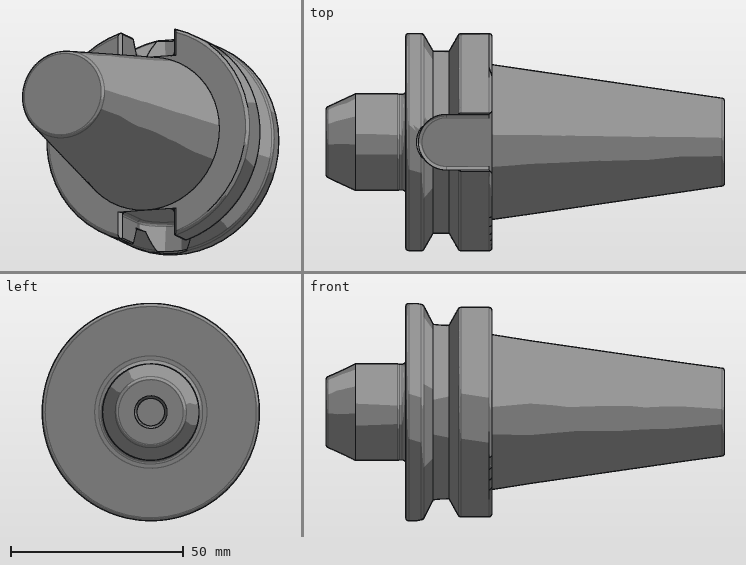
import cadquery as cq
import math

length = 115.4

nose_radius = 28.0 / 2
nose_cone_length = 8.5
nose_cone_angle = math.radians(25)
nose_tip_radius = nose_radius - nose_cone_length * math.tan(nose_cone_angle)
nose_tip_fillet = 1.0

relief_radius = 27.8 / 2
relief_start = 20.8
relief_full_depth = 21.2
relief_fillet = 1.2
relief_face_depth = 0.1
relief_outer_radius = 16.3

flange_radius = 31.5
flange_front = 23.1
flange_back = 48.1
groove_radius = 26.4
groove_start = 31.0
groove_end = 35.7
groove_wall_angle = math.radians(60)
groove_wall_run = (flange_radius - groove_radius) / math.tan(groove_wall_angle)
flange_edge_fillet = 0.9

gauge_radius = 44.4 / 2
gauge_x = 49.9
taper_slope = 7 / 48
taper_end_fillet = 0.8

key_width = 16.2
key_floor = 22.5
key_floor_fillet = 1.0
front_rim_depth = 0.6
back_rim_depth = 0.5
key_mouth_chamfer = 0.9
key_arc_x = 34.9

bore_diameter = 8.0
bore_step_diameter = 8.7
bore_mouth_diameter = 9.5
bore_cone_length = 0.5
bore_depth = 18.5


def taper_radius(x):
    return gauge_radius - (x - gauge_x) * taper_slope


def turned_body():
    relief_bottom = flange_front + relief_face_depth
    arc_start = relief_bottom - relief_fillet
    arc_drop = relief_fillet * math.sin(math.pi / 4)
    arc_middle = (
        arc_start + arc_drop,
        relief_radius + relief_fillet - arc_drop,
    )
    profile = (
        cq.Workplane("XY")
        .moveTo(0, 0)
        .lineTo(0, nose_tip_radius)
        .lineTo(nose_cone_length, nose_radius)
        .lineTo(relief_start, nose_radius)
        .lineTo(relief_full_depth, relief_radius)
        .lineTo(arc_start, relief_radius)
        .threePointArc(arc_middle, (relief_bottom, relief_radius + relief_fillet))
        .lineTo(flange_front, relief_outer_radius)
        .lineTo(flange_front, flange_radius)
        .lineTo(groove_start - groove_wall_run, flange_radius)
        .lineTo(groove_start, groove_radius)
        .lineTo(groove_end, groove_radius)
        .lineTo(groove_end + groove_wall_run, flange_radius)
        .lineTo(flange_back, flange_radius)
        .lineTo(flange_back, taper_radius(flange_back))
        .lineTo(length, taper_radius(length))
        .lineTo(length, 0)
        .close()
    )
    body = profile.revolve(360, (0, 0, 0), (1, 0, 0))
    body = body.edges(cq.selectors.RadiusNthSelector(-1)).fillet(flange_edge_fillet)
    body = body.faces(">X").edges().fillet(taper_end_fillet)
    return body.faces("<X").edges().fillet(nose_tip_fillet)


def keyway_cutter():
    """Round-ended slot on the +Z side, open at the back of the flange."""
    height = flange_radius - key_floor
    run = length - key_arc_x
    base = cq.Workplane("XY").workplane(offset=key_floor).center(key_arc_x, 0)
    channel = base.circle(key_width / 2).extrude(height)
    channel = channel.union(base.center(run / 2, 0).rect(run, key_width).extrude(height))
    return channel.faces("<Z").edges("not >X").fillet(key_floor_fillet)


def front_rim_flare():
    """45 degree cone that breaks the keyway's round rim on the front land."""
    start = cq.Workplane("XY").workplane(offset=flange_radius - front_rim_depth)
    return start.center(key_arc_x, 0).circle(key_width / 2).extrude(front_rim_depth, taper=-45)


def back_rim_flare():
    """45 degree wedge that breaks the keyway's straight rims on the back land."""
    half_width = key_width / 2
    rim_z = math.sqrt(flange_radius**2 - half_width**2)
    bottom = rim_z - back_rim_depth
    rise = flange_radius - bottom
    run = flange_back - groove_end
    return (
        cq.Workplane("YZ", origin=(groove_end, 0, 0))
        .moveTo(-half_width, bottom)
        .lineTo(half_width, bottom)
        .lineTo(half_width + rise, flange_radius)
        .lineTo(-half_width - rise, flange_radius)
        .close()
        .extrude(run)
    )


def mouth_flare():
    """45 degree wedge that breaks the keyway walls at the back of the flange."""
    half_width = key_width / 2
    flare_start = flange_back - key_mouth_chamfer
    return (
        cq.Workplane("XY")
        .workplane(offset=key_floor)
        .moveTo(flare_start, -half_width)
        .lineTo(flare_start, half_width)
        .lineTo(flange_back, half_width + key_mouth_chamfer)
        .lineTo(flange_back, -half_width - key_mouth_chamfer)
        .close()
        .extrude(flange_radius - key_floor)
    )


def bore_cutter():
    """Blind bore whose mouth opens through two short cones."""
    bore_radius = bore_diameter / 2
    return (
        cq.Workplane("XY")
        .lineTo(0, bore_mouth_diameter / 2)
        .lineTo(bore_cone_length, bore_step_diameter / 2)
        .lineTo(2 * bore_cone_length, bore_radius)
        .lineTo(bore_depth, bore_radius)
        .lineTo(bore_depth, 0)
        .close()
        .revolve(360, (0, 0, 0), (1, 0, 0))
    )


result = turned_body()
for turn in (0, 180):
    for cutter in (keyway_cutter(), front_rim_flare(), back_rim_flare(), mouth_flare()):
        result = result.cut(cutter.rotate((0, 0, 0), (1, 0, 0), turn))
result = result.cut(bore_cutter())